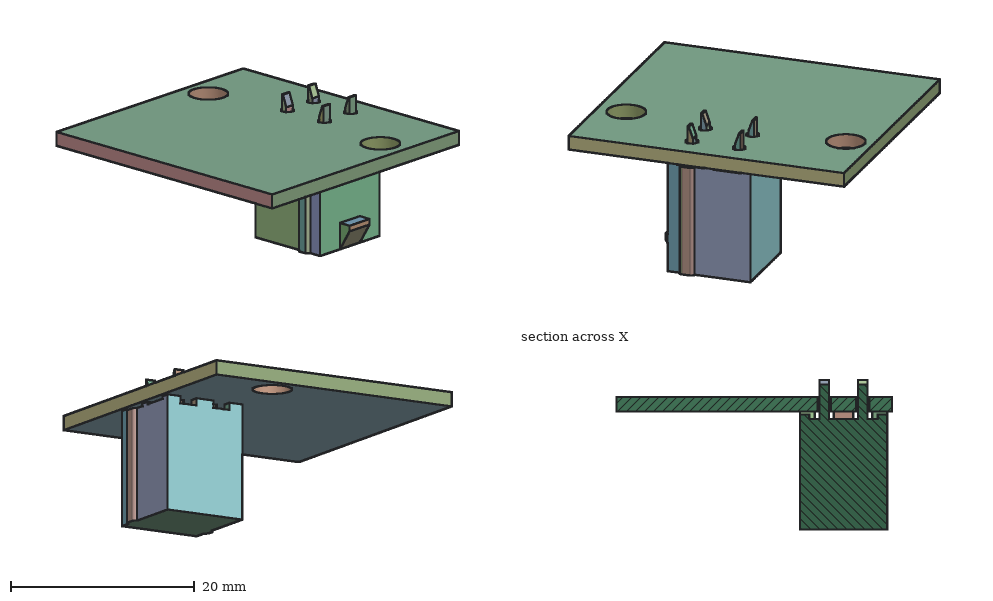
import cadquery as cq

BOARD_X = 31.95
BOARD_Y = 29.97
BOARD_THICKNESS = 1.6
MOUNT_HOLE_DIAMETER = 4.3
MOUNT_HOLE_SPACING = 25.45
MOUNT_HOLE_MID_X = -0.13
MOUNT_HOLE_FROM_BACK = 8.98
PIN_HOLE_DIAMETER = 1.4

PIN_PITCH_X = 5.5
PIN_PITCH_Y = 4.2
PIN_MID_X = 0.1
PIN_MID_Y = 9.7
PIN_X = 0.65
PIN_Y = 1.05
PIN_ABOVE_BOARD = 1.85
PIN_TIP_FLAT = 0.15
PIN_TAPER_HEIGHT = 1.35

HOUSING_X = 9.6
HOUSING_Y = 9.52
HOUSING_DEPTH = 12.85
HOUSING_MID_X = -0.13
HOUSING_MID_Y = PIN_MID_Y
STANDOFF = 0.3
WALL = 1.05
TAB_WIDTH = 1.05
RECESS_DEPTH = 0.8
NOTCH_Y = 2.05

RIB_OFFSET_X = 2.52
RIB_BASE_WIDTH = 1.73
RIB_HEIGHT = 0.38

LATCH_REACH = 1.45
LATCH_HEIGHT = 3.05
LATCH_NOSE_HEIGHT = 0.65
LATCH_Y = 3.2

SIDES = (-1, 1)
PIN_ROWS_Y = [PIN_MID_Y + side * PIN_PITCH_Y / 2 for side in SIDES]
PIN_POSITIONS = [(PIN_MID_X + side * PIN_PITCH_X / 2, y) for side in SIDES for y in PIN_ROWS_Y]
MOUNT_HOLE_Y = BOARD_Y / 2 - MOUNT_HOLE_FROM_BACK
MOUNT_HOLE_POSITIONS = [(MOUNT_HOLE_MID_X + side * MOUNT_HOLE_SPACING / 2, MOUNT_HOLE_Y) for side in SIDES]
PIN_TOP = BOARD_THICKNESS + PIN_ABOVE_BOARD
WALL_HEIGHT = HOUSING_DEPTH - STANDOFF


def block(size_x, size_y, size_z, x, y, bottom_z):
    """Box centred on (x, y) and standing on bottom_z."""
    box = cq.Workplane("XY").box(size_x, size_y, size_z, centered=(True, True, False))
    return box.translate((x, y, bottom_z))


def make_board():
    board = block(BOARD_X, BOARD_Y, BOARD_THICKNESS, 0, 0, 0)
    mount_holes = (
        cq.Workplane("XY").pushPoints(MOUNT_HOLE_POSITIONS)
        .circle(MOUNT_HOLE_DIAMETER / 2).extrude(BOARD_THICKNESS)
    )
    pin_holes = (
        cq.Workplane("XY").pushPoints(PIN_POSITIONS)
        .circle(PIN_HOLE_DIAMETER / 2).extrude(BOARD_THICKNESS)
    )
    return board.cut(mount_holes).cut(pin_holes)


def make_pin(side, y):
    """Pin standing on the recess floor; the taper faces the middle of the grid."""
    x = PIN_MID_X + side * PIN_PITCH_X / 2
    outer = x + side * PIN_X / 2
    inner = x - side * PIN_X / 2
    return (
        cq.Workplane("XZ", origin=(0, y, 0))
        .moveTo(outer, -RECESS_DEPTH)
        .lineTo(outer, PIN_TOP)
        .lineTo(outer - side * PIN_TIP_FLAT, PIN_TOP)
        .lineTo(inner, PIN_TOP - PIN_TAPER_HEIGHT)
        .lineTo(inner, -RECESS_DEPTH)
        .close()
        .extrude(PIN_Y / 2, both=True)
    )


def make_foot(side):
    """Strip along one X side that carries the housing against the board."""
    x = HOUSING_MID_X + side * (HOUSING_X - WALL) / 2
    return block(WALL, HOUSING_Y, STANDOFF, x, HOUSING_MID_Y, -STANDOFF)


def make_back_tab():
    """Tab on the top of the +Y wall, level with the feet."""
    y = HOUSING_MID_Y + (HOUSING_Y - WALL) / 2
    return block(TAB_WIDTH, WALL, STANDOFF, HOUSING_MID_X, y, -STANDOFF)


def make_recess():
    """Shallow recess in the housing top, inside its four walls."""
    size_x = HOUSING_X - 2 * WALL
    size_y = HOUSING_Y - 2 * WALL
    return block(size_x, size_y, RECESS_DEPTH, HOUSING_MID_X, HOUSING_MID_Y, -RECESS_DEPTH)


def make_notch(y):
    """Notch through the -X wall in line with one pin row."""
    x = HOUSING_MID_X - (HOUSING_X - WALL) / 2
    return block(WALL, NOTCH_Y, RECESS_DEPTH, x, y, -RECESS_DEPTH)


def make_front_rib():
    """Rib on the -Y side with 45 degree flanks."""
    mid = HOUSING_MID_X + RIB_OFFSET_X
    wall = HOUSING_MID_Y - HOUSING_Y / 2
    half_base = RIB_BASE_WIDTH / 2
    half_crest = half_base - RIB_HEIGHT
    return (
        cq.Workplane("XY", origin=(mid, wall, -HOUSING_DEPTH))
        .moveTo(-half_base, 0)
        .lineTo(-half_crest, -RIB_HEIGHT)
        .lineTo(half_crest, -RIB_HEIGHT)
        .lineTo(half_base, 0)
        .close()
        .extrude(WALL_HEIGHT)
    )


def make_back_rib():
    """Rib on the +Y side with quarter-round flanks."""
    mid = HOUSING_MID_X + RIB_OFFSET_X
    wall = HOUSING_MID_Y + HOUSING_Y / 2
    half_base = RIB_BASE_WIDTH / 2
    half_crest = half_base - RIB_HEIGHT
    return (
        cq.Workplane("XY", origin=(mid, wall, -HOUSING_DEPTH))
        .moveTo(-half_base, 0)
        .radiusArc((-half_crest, RIB_HEIGHT), RIB_HEIGHT)
        .lineTo(half_crest, RIB_HEIGHT)
        .radiusArc((half_base, 0), RIB_HEIGHT)
        .close()
        .extrude(WALL_HEIGHT)
    )


def make_latch():
    """Hook with a flat upper face and a ramp running down to the housing bottom."""
    wall = HOUSING_MID_X + HOUSING_X / 2
    return (
        cq.Workplane("XZ", origin=(wall, HOUSING_MID_Y, -HOUSING_DEPTH))
        .moveTo(0, 0)
        .lineTo(LATCH_REACH, LATCH_HEIGHT - LATCH_NOSE_HEIGHT)
        .lineTo(LATCH_REACH, LATCH_HEIGHT)
        .lineTo(0, LATCH_HEIGHT)
        .close()
        .extrude(LATCH_Y / 2, both=True)
    )


def make_connector():
    connector = block(HOUSING_X, HOUSING_Y, WALL_HEIGHT, HOUSING_MID_X, HOUSING_MID_Y, -HOUSING_DEPTH)
    for side in SIDES:
        connector = connector.union(make_foot(side))
    connector = connector.union(make_back_tab())
    connector = connector.union(make_front_rib()).union(make_back_rib()).union(make_latch())
    connector = connector.cut(make_recess())
    for y in PIN_ROWS_Y:
        connector = connector.cut(make_notch(y))
        for side in SIDES:
            connector = connector.union(make_pin(side, y))
    return connector


board = make_board()
connector = make_connector()
result = cq.Compound.makeCompound([board.val(), connector.val()])